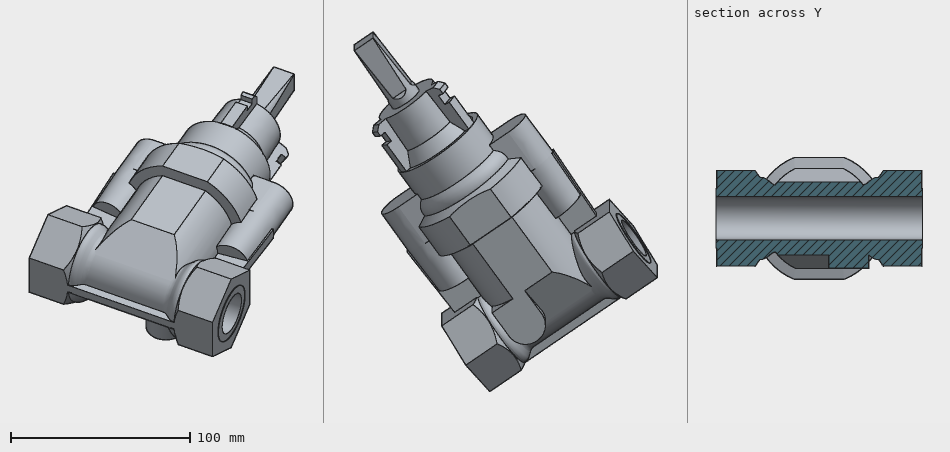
import cadquery as cq
import math

overall_length = 203.0
overall_width = 115.0
overall_height = 68.0

hex_sides = 6
hex_flats = 46.5
hex_corner_radius = hex_flats / 2 / math.cos(math.pi / hex_sides)
hex_inner_x = 32.9
hex_chamfer_length = 2.8
face_ring_height = 0.5
face_ring_diameter = 33.3
bore_diameter = 24.0
pipe_radius = 18.7
pipe_straight_x = 23.5
flare_start_x = 26.5
flare_start_radius = 19.7
flare_end_x = 29.0
flare_end_radius = 21.7
pipe_collar_x = 31.5
pipe_collar_radius = 23.0

body_radius = 30.9
body_flat_z = 27.8
body_slope_y = 16.5
flange_radius = 36.7
flange_flat_z = overall_height / 2
body_top_y = 55.5
flange_bottom_y = 56.6
flange_top_y = 77.0
parting_y = 67.2

dome_bottom_y = 80.4
dome_mid_y = 86.0
dome_mid_radius = 29.8
collar_bottom_y = 89.1
collar_top_y = 108.2
collar_diameter = 54.5
shoulder_bottom_radius = 23.8
neck_bottom_y = 116.7
neck_bottom_radius = 19.0
neck_top_y = 138.9
neck_top_radius = 18.3

rib_count = 3
rib_radius = 26.5
rib_width = 7.1
rib_chamfer_length = 2.6
rib_chamfer_depth = 3.2
rib_notch_radius = 23.1
rib_notch_bottom_y = 127.0
rib_notch_top_y = 133.2

stem_top_y = overall_length - hex_flats / 2
stem_diameter = 18.0
stem_square_top = 13.0
stem_square_bottom = 15.6
stem_square_bottom_y = 145.1
stem_runout_length = 2.2

lug_x = 37.4
lug_top_radius = 11.8
lug_parting_radius = 12.0
lug_bottom_radius = 11.2
lug_top_y = 93.0
lug_inner_end_y = 35.7
lug_outer_end_y = 38.4

side_web_thickness = 6.7
side_web_top_x = 50.0
side_web_bottom_x = 48.3
bottom_web_thickness = 5.5
bottom_web_length = 69.0
boss_x = 16.5
boss_diameter = 22.3


def revolve_about_y(profile):
    return profile.close().revolve(360, (0, 0, 0), (0, 1, 0))


def both_sides(solid):
    return solid.union(solid.mirror("YZ"))


def along_y(bottom_y):
    """Plane square to the stem, facing +Y, at the given height."""
    return cq.Workplane(cq.Plane((0, bottom_y, 0), (1, 0, 0), (0, 1, 0)))


def make_body():
    """Turned body, flange and bonnet, with flats and sloped ends on the +Z and -Z sides."""
    corner_distance = math.hypot(body_slope_y, body_flat_z)
    tangent_angle = math.atan2(body_flat_z, body_slope_y) + math.acos(pipe_radius / corner_distance)
    slope_end_y = pipe_radius * math.cos(tangent_angle)
    slope_end_z = pipe_radius * math.sin(tangent_angle)

    turned = revolve_about_y(
        cq.Workplane("XY")
        .moveTo(0, slope_end_y)
        .lineTo(body_radius, slope_end_y)
        .lineTo(body_radius, body_top_y)
        .lineTo(flange_radius, flange_bottom_y)
        .lineTo(flange_radius, flange_top_y)
        .lineTo(body_radius, dome_bottom_y)
        .threePointArc((dome_mid_radius, dome_mid_y), (collar_diameter / 2, collar_bottom_y))
        .lineTo(collar_diameter / 2, collar_top_y)
        .lineTo(shoulder_bottom_radius, collar_top_y)
        .lineTo(neck_bottom_radius, neck_bottom_y)
        .lineTo(neck_top_radius, neck_top_y)
        .lineTo(0, neck_top_y)
    )
    upper_outline = [
        (slope_end_y, slope_end_z),
        (body_slope_y, body_flat_z),
        (body_top_y, body_flat_z),
        (flange_bottom_y, flange_flat_z),
        (neck_top_y, flange_flat_z),
    ]
    lower_outline = [(y, -z) for y, z in reversed(upper_outline)]
    flats = cq.Workplane("YZ").polyline(upper_outline + lower_outline).close()
    return turned.intersect(flats.extrude(flange_radius, both=True))


def make_port():
    """Half of the pipe with its flare, hexagon and face ring, on the +X side."""
    hex_outer_x = overall_width / 2 - face_ring_height
    pipe = (
        cq.Workplane("XY")
        .lineTo(0, pipe_radius)
        .lineTo(pipe_straight_x, pipe_radius)
        .tangentArcPoint((flare_start_x, flare_start_radius), relative=False)
        .lineTo(flare_end_x, flare_end_radius)
        .tangentArcPoint((pipe_collar_x, pipe_collar_radius), relative=False)
        .lineTo(hex_inner_x, pipe_collar_radius)
        .lineTo(hex_inner_x, 0)
        .close()
        .revolve(360, (0, 0, 0), (1, 0, 0))
    )
    hexagon = (
        cq.Workplane("YZ", origin=(hex_inner_x, 0, 0))
        .polygon(hex_sides, 2 * hex_corner_radius)
        .extrude(hex_outer_x - hex_inner_x)
        .rotate((0, 0, 0), (1, 0, 0), 180 / hex_sides)
    )
    hex_chamfer = (
        cq.Workplane("XY")
        .moveTo(hex_inner_x, 0)
        .lineTo(hex_inner_x, pipe_collar_radius)
        .lineTo(hex_inner_x + hex_chamfer_length, hex_corner_radius)
        .lineTo(hex_outer_x, hex_corner_radius)
        .lineTo(hex_outer_x, 0)
        .close()
        .revolve(360, (0, 0, 0), (1, 0, 0))
    )
    ring = (
        cq.Workplane("YZ", origin=(hex_outer_x, 0, 0))
        .circle(face_ring_diameter / 2)
        .extrude(face_ring_height)
    )
    return pipe.union(hexagon.intersect(hex_chamfer)).union(ring)


def make_bonnet_ribs():
    """Three notched ribs around the neck, the first one facing +Z."""
    rib = (
        cq.Workplane("YZ")
        .moveTo(collar_top_y, 0)
        .lineTo(collar_top_y, rib_radius)
        .lineTo(rib_notch_bottom_y, rib_radius)
        .lineTo(rib_notch_bottom_y, rib_notch_radius)
        .lineTo(rib_notch_top_y, rib_notch_radius)
        .lineTo(rib_notch_top_y, rib_radius)
        .lineTo(neck_top_y - rib_chamfer_length, rib_radius)
        .lineTo(neck_top_y, rib_radius - rib_chamfer_depth)
        .lineTo(neck_top_y, 0)
        .close()
        .extrude(rib_width / 2, both=True)
    )
    ribs = rib
    for index in range(1, rib_count):
        ribs = ribs.union(rib.rotate((0, 0, 0), (0, 1, 0), index * 360 / rib_count))
    return ribs


def make_stem():
    """Tapered square whose corners are rounded by the stem cylinder, running out into it."""
    runout_y = stem_square_bottom_y - stem_runout_length
    base = (
        along_y(neck_top_y)
        .rect(stem_diameter, stem_diameter)
        .extrude(runout_y - neck_top_y)
    )
    runout = (
        along_y(runout_y)
        .rect(stem_diameter, stem_diameter)
        .workplane(offset=stem_runout_length)
        .rect(stem_square_bottom, stem_square_bottom)
        .loft()
    )
    square = (
        along_y(stem_square_bottom_y)
        .rect(stem_square_bottom, stem_square_bottom)
        .workplane(offset=stem_top_y - stem_square_bottom_y)
        .rect(stem_square_top, stem_square_top)
        .loft()
    )
    cylinder = (
        along_y(neck_top_y)
        .circle(stem_diameter / 2)
        .extrude(stem_top_y - neck_top_y)
    )
    return base.union(runout).union(square).intersect(cylinder)


def make_lug():
    """Drafted round lug on the +X side, joined to the bonnet by a flat-sided block."""
    boss = revolve_about_y(
        cq.Workplane("XY")
        .moveTo(0, lug_inner_end_y)
        .lineTo(lug_bottom_radius, lug_inner_end_y)
        .lineTo(lug_parting_radius, parting_y)
        .lineTo(lug_top_radius, lug_top_y)
        .lineTo(0, lug_top_y)
    ).translate((lug_x, 0, 0))
    end_cut = (
        cq.Workplane("XY")
        .moveTo(lug_x - lug_parting_radius, lug_inner_end_y)
        .lineTo(lug_x + lug_parting_radius, lug_inner_end_y)
        .lineTo(lug_x + lug_parting_radius, lug_outer_end_y)
        .close()
        .extrude(lug_parting_radius, both=True)
    )
    block = (
        along_y(parting_y)
        .rect(2 * lug_x, 2 * lug_parting_radius)
        .workplane(offset=lug_top_y - parting_y)
        .rect(2 * lug_x, 2 * lug_top_radius)
        .loft()
    )
    return boss.cut(end_cut).union(block)


def make_side_web():
    """Thin web from the lug down to the hexagon, on the +X side."""
    return (
        cq.Workplane("XY")
        .lineTo(0, parting_y)
        .lineTo(side_web_top_x, parting_y)
        .lineTo(side_web_bottom_x, hex_flats / 2)
        .lineTo(side_web_bottom_x, 0)
        .close()
        .extrude(side_web_thickness / 2, both=True)
    )


def make_bottom_web():
    """Thin web under the pipe, flush with the hexagon flats."""
    return cq.Workplane("XY").box(
        bottom_web_length, hex_flats / 2, bottom_web_thickness, centered=(True, False, True)
    ).translate((0, -hex_flats / 2, 0))


def make_boss():
    """U-shaped boss on the -Z side, level with the body flat and running back into the body."""
    round_end = cq.Workplane("XY").center(boss_x, 0).circle(boss_diameter / 2).extrude(-body_flat_z)
    tail = cq.Workplane("XY").box(
        boss_diameter, body_slope_y, body_flat_z, centered=(True, False, False)
    ).translate((boss_x, 0, -body_flat_z))
    return round_end.union(tail)


valve = make_body()
for feature in (
    both_sides(make_port()),
    make_bonnet_ribs(),
    make_stem(),
    both_sides(make_lug()),
    both_sides(make_side_web()),
    make_bottom_web(),
    make_boss(),
):
    valve = valve.union(feature)

bore = cq.Workplane("YZ").circle(bore_diameter / 2).extrude(overall_width, both=True)
result = valve.cut(bore)